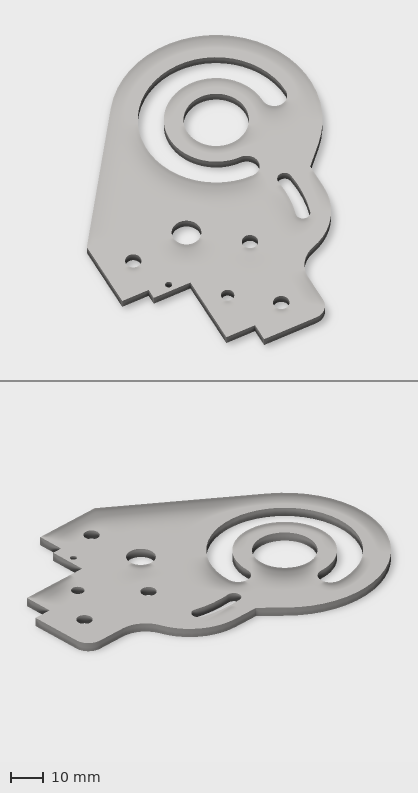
import cadquery as cq
import math

thickness = 3.0
length = 113.4
width = 89.9
disc_radius = 32.4
right_x = length - disc_radius
bottom_y = disc_radius - width

notch_x, shelf_y = 29.0, 17.1
foot_left_x = 24.7
shoulder_radius = 20.0
shoulder_x = 37.9
shoulder_y = shelf_y - shoulder_radius
ledge_y = -3.1
blend_radius = 10.0
corner_radius = 5.0
step_corners = [
    (right_x, -26.0),
    (75.0, -26.0),
    (75.0, -35.8),
    (51.4, -35.8),
    (51.4, -48.4),
    (48.0, -48.4),
    (48.0, bottom_y),
]

bore_diameter = 20.0
disc_slot_radius = 20.0
disc_slot_width = 7.9
pivot = (33.9, -28.0)
pivot_diameter = 9.1
pivot_slot_radius = 36.3
pivot_slot_width = 4.5
pivot_slot_start, pivot_slot_end = 74.5, 96.8
screw_diameter = 5.0
screw_holes = [(45.9, -12.5), (71.0, -14.9), (36.0, -47.4)]
dowel_hole, dowel_diameter = (60.9, -28.0), 4.1
pin_hole, pin_diameter = (49.0, -42.1), 2.2


def polar(center, radius, degrees):
    """Point at a radius and angle about a centre."""
    angle = math.radians(degrees)
    return center[0] + radius * math.cos(angle), center[1] + radius * math.sin(angle)


def disc_tangent_point(point, side):
    """Point where a line from an outside point touches the disc; side is +1 or -1."""
    direction = math.atan2(point[1], point[0])
    opening = math.acos(disc_radius / math.hypot(*point))
    return polar((0, 0), disc_radius, math.degrees(direction + side * opening))


def make_plate():
    notch = (notch_x, shelf_y)
    foot = (foot_left_x, bottom_y)
    shoulder = (shoulder_x, shoulder_y)

    blend_y = ledge_y + blend_radius
    center_distance = shoulder_radius + blend_radius
    rise = math.asin((blend_y - shoulder_y) / center_distance)
    blend_x = shoulder_x + center_distance * math.cos(rise)
    contact_angle = math.degrees(rise)
    contact = polar(shoulder, shoulder_radius, contact_angle)
    shoulder_middle = polar(shoulder, shoulder_radius, (90 + contact_angle) / 2)
    blend_middle = polar((blend_x, blend_y), blend_radius, (180 + contact_angle + 270) / 2)
    corner_center = (right_x - corner_radius, ledge_y - corner_radius)

    outline = (
        cq.Workplane("XY")
        .moveTo(*disc_tangent_point(foot, -1))
        .threePointArc((-disc_radius, 0), disc_tangent_point(notch, 1))
        .lineTo(*notch)
        .lineTo(shoulder_x, shelf_y)
        .threePointArc(shoulder_middle, contact)
        .threePointArc(blend_middle, (blend_x, ledge_y))
        .lineTo(corner_center[0], ledge_y)
        .threePointArc(polar(corner_center, corner_radius, 45), (right_x, corner_center[1]))
    )
    for corner in step_corners:
        outline = outline.lineTo(*corner)
    return outline.lineTo(*foot).close().extrude(thickness)


def make_arc_slot(center, radius, slot_width, start, end):
    """Round-ended slot along an arc, counterclockwise from start to end in degrees."""
    inner = radius - slot_width / 2
    outer = radius + slot_width / 2
    middle = (start + end) / 2
    half_width = slot_width / 2
    start_tip = polar(polar(center, radius, start), half_width, start - 90)
    end_tip = polar(polar(center, radius, end), half_width, end + 90)
    return (
        cq.Workplane("XY")
        .moveTo(*polar(center, outer, start))
        .threePointArc(polar(center, outer, middle), polar(center, outer, end))
        .threePointArc(end_tip, polar(center, inner, end))
        .threePointArc(polar(center, inner, middle), polar(center, inner, start))
        .threePointArc(start_tip, polar(center, outer, start))
        .close()
        .extrude(thickness)
    )


def make_holes(points, diameter):
    return cq.Workplane("XY").pushPoints(points).circle(diameter / 2).extrude(thickness)


result = make_plate()
result = result.cut(make_arc_slot((0, 0), disc_slot_radius, disc_slot_width, 90, 360))
result = result.cut(
    make_arc_slot(pivot, pivot_slot_radius, pivot_slot_width, pivot_slot_start, pivot_slot_end)
)
for hole_points, hole_diameter in [
    ([(0, 0)], bore_diameter),
    ([pivot], pivot_diameter),
    (screw_holes, screw_diameter),
    ([dowel_hole], dowel_diameter),
    ([pin_hole], pin_diameter),
]:
    result = result.cut(make_holes(hole_points, hole_diameter))